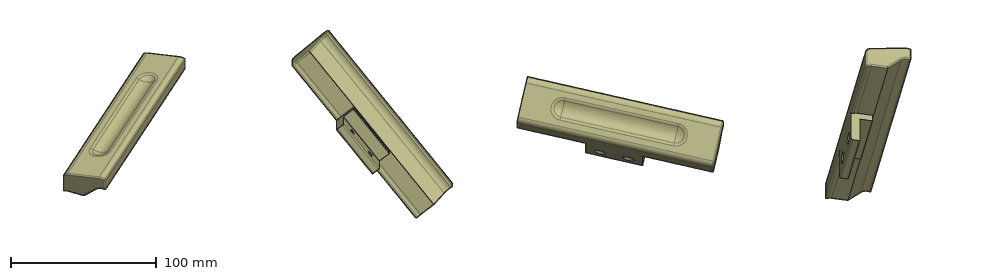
import cadquery as cq
import math

bar_length = 138.5
bar_depth = 31.9
total_height = 46.0
edge_rounding = 1.0
floor_z = 25.0
lip_z = 23.1
lip_width = 4.2
corner_radius = 4.2
slope_angle = math.radians(11.3)
nose_start_x = 26.9
nose_radius = 9.7
underside_x = 15.7
underside_angle = math.radians(45)
finger_x = 24.8
finger_radius = 6.4

feature_y = 0.7
tab_width = 40.0
tab_thickness = 6.2
ledge_depth = 15.0
ledge_z = 20.0
tab_overlap = 2.1

hole_diameter = 3.7
sink_diameter = 8.0
sink_angle = 90.0
hole_spacing = 20.0
hole_z = 10.0

pocket_x = 15.2
pocket_straight = 80.0
pocket_radius = 11.1
pocket_half_width = 6.6
pocket_rim_radius = 4.0


def slope_z(x):
    """Height of the sloping top at x."""
    nose_start_z = total_height - nose_radius * (1 - math.cos(slope_angle))
    return nose_start_z + (x - nose_start_x) * math.tan(slope_angle)


def drop_on_arc(radius, distance):
    """Fall of a circle at a sideways distance from its highest point."""
    return radius - math.sqrt(radius**2 - distance**2)


def make_bar():
    nose_start_z = slope_z(nose_start_x)
    nose_peak_x = nose_start_x + nose_radius * math.sin(slope_angle)
    nose_end_z = total_height - drop_on_arc(nose_radius, bar_depth - nose_peak_x)

    finger_z = floor_z + (finger_x - underside_x) * math.tan(underside_angle)
    finger_peak_x = finger_x + finger_radius * math.sin(underside_angle)
    finger_peak_z = finger_z + finger_radius * (1 - math.cos(underside_angle))
    finger_end_z = finger_peak_z - drop_on_arc(finger_radius, bar_depth - finger_peak_x)

    bar = (
        cq.Workplane("XZ", origin=(0, bar_length / 2, 0))
        .moveTo(0, lip_z)
        .lineTo(0, slope_z(0))
        .lineTo(nose_start_x, nose_start_z)
        .threePointArc((nose_peak_x, total_height), (bar_depth, nose_end_z))
        .lineTo(bar_depth, finger_end_z)
        .threePointArc((finger_peak_x, finger_peak_z), (finger_x, finger_z))
        .lineTo(underside_x, floor_z)
        .lineTo(lip_width, floor_z)
        .tangentArcPoint((0, lip_z), relative=False)
        .close()
        .extrude(bar_length)
    )
    bar = bar.edges(cq.selectors.NearestToPointSelector((0, 0, slope_z(0)))).fillet(corner_radius)
    bar = bar.edges(cq.selectors.NearestToPointSelector((0, 0, lip_z))).fillet(edge_rounding)
    bar = bar.faces(">X").edges("|Y").fillet(edge_rounding)
    return bar.faces("<Y").edges().fillet(edge_rounding)


def make_tab():
    tab_top = floor_z + tab_overlap
    plate = (
        cq.Workplane("XY", origin=(0, feature_y, 0))
        .box(tab_thickness, tab_width, tab_top, centered=(False, True, False))
        .faces("<Z")
        .edges("|Y")
        .fillet(edge_rounding)
    )
    ledge = cq.Workplane("XY", origin=(0, feature_y, ledge_z)).box(
        ledge_depth, tab_width, tab_top - ledge_z, centered=(False, True, False)
    )
    return plate.union(ledge)


def cut_screw_holes(body):
    return (
        body.copyWorkplane(cq.Workplane("YZ", origin=(0, feature_y, hole_z)))
        .transformed(rotate=(0, 180, 0))
        .rarray(hole_spacing, 1.4, 2, 1)
        .cskHole(hole_diameter, sink_diameter, sink_angle, depth=tab_thickness)
    )


def cut_pocket(body):
    """Round trough with ball ends, its axis held above the sloping top, and a rounded rim."""
    axis_height = math.sqrt(pocket_radius**2 - pocket_half_width**2)
    axis_x = pocket_x - axis_height * math.sin(slope_angle)
    axis_z = slope_z(pocket_x) + axis_height * math.cos(slope_angle)
    first_y = feature_y - pocket_straight / 2

    trough = (
        cq.Workplane("XZ", origin=(axis_x, first_y, axis_z))
        .circle(pocket_radius)
        .extrude(-pocket_straight)
    )
    for end_y in (first_y, first_y + pocket_straight):
        ball = cq.Workplane("XY", origin=(axis_x, end_y, axis_z)).sphere(pocket_radius)
        trough = trough.union(ball)
    body = body.cut(trough)
    slope_normal = cq.Vector(-math.sin(slope_angle), 0, math.cos(slope_angle))
    sloping_top = body.faces(cq.selectors.ParallelDirSelector(slope_normal)).val()
    rim_edges = sloping_top.innerWires()[0].Edges()
    return body.newObject(rim_edges).fillet(pocket_rim_radius)


result = cut_pocket(make_bar())
result = cut_screw_holes(result.union(make_tab()))